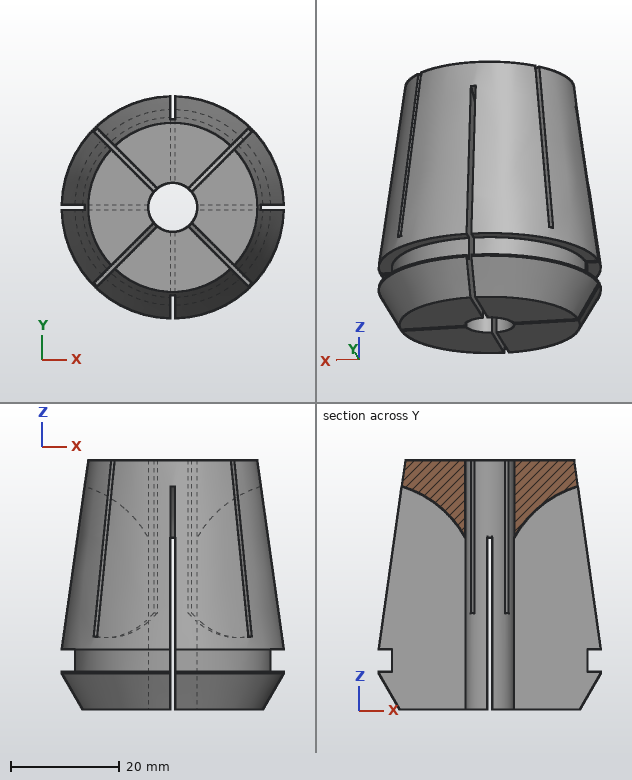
import cadquery as cq
import math

total_height = 46.0
major_radius = 20.5
bore_radius = 4.5
long_cone_half_angle = 8.0
nose_half_angle = 30.0
groove_radius = 18.05
groove_bottom_z = 7.0
groove_top_z = 11.1
rim_height = 0.3

slots_per_end = 4
slot_width = 0.9
saw_radius = 20.0
top_saw_center_radius = 17.2
top_saw_center_z = 33.25
bottom_saw_center_radius = 22.0
bottom_saw_center_z = 22.0
overshoot = 1.0


def make_body():
    """Turned blank: nose cone, rim, groove and long cone, with the through bore."""
    rim_bottom_z = groove_bottom_z - rim_height
    nose_radius = major_radius - rim_bottom_z * math.tan(math.radians(nose_half_angle))
    cone_height = total_height - groove_top_z
    top_radius = major_radius - cone_height * math.tan(math.radians(long_cone_half_angle))
    half_section = [
        (bore_radius, 0),
        (nose_radius, 0),
        (major_radius, rim_bottom_z),
        (major_radius, groove_bottom_z),
        (groove_radius, groove_bottom_z),
        (groove_radius, groove_top_z),
        (major_radius, groove_top_z),
        (top_radius, total_height),
        (bore_radius, total_height),
    ]
    return cq.Workplane("XZ").polyline(half_section).close().revolve(360, (0, 0), (0, 1))


def make_slot_cutter(center_radius, center_z, open_end_z):
    """Radial blade along +X: a round saw root, straight out to the open end."""
    inner_radius = center_radius - saw_radius
    outer_radius = major_radius + overshoot
    root_direction = math.copysign(1, center_z - open_end_z)

    def root_z(radius):
        return center_z + root_direction * math.sqrt(saw_radius**2 - (radius - center_radius) ** 2)

    middle_radius = (inner_radius + outer_radius) / 2
    end_z = open_end_z - root_direction * overshoot
    return (
        cq.Workplane("XZ")
        .moveTo(inner_radius, end_z)
        .lineTo(inner_radius, center_z)
        .threePointArc((middle_radius, root_z(middle_radius)), (outer_radius, root_z(outer_radius)))
        .lineTo(outer_radius, end_z)
        .close()
        .extrude(slot_width / 2, both=True)
    )


def cut_slots(body, cutter, first_angle):
    """Cut equally spaced copies of the blade, starting at first_angle."""
    pitch_angle = 360 / slots_per_end
    for index in range(slots_per_end):
        angle = first_angle + index * pitch_angle
        body = body.cut(cutter.rotate((0, 0, 0), (0, 0, 1), angle))
    return body


bottom_cutter = make_slot_cutter(bottom_saw_center_radius, bottom_saw_center_z, 0)
top_cutter = make_slot_cutter(top_saw_center_radius, top_saw_center_z, total_height)

result = make_body()
result = cut_slots(result, bottom_cutter, 0)
result = cut_slots(result, top_cutter, 180 / slots_per_end)